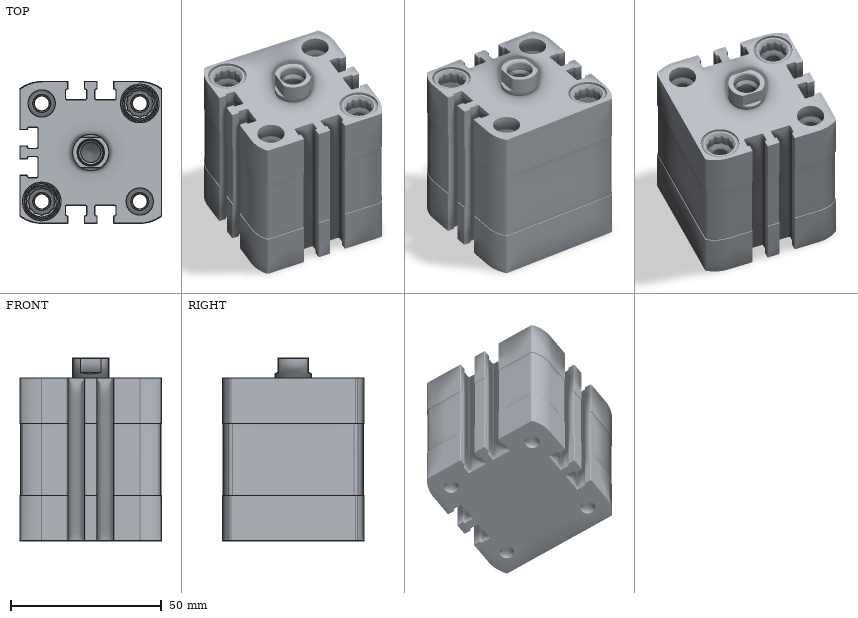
import cadquery as cq
import math

total_height = 60.6
width = 47.0
rod_protrusion = 6.6
housing_height = total_height - rod_protrusion
cap_height = 15.0
barrel_height = housing_height - 2 * cap_height
barrel_inset = 0.25

corner_center_x = 16.25
corner_radius = 12.0
cap_edge_radius = 0.9
barrel_edge_radius = 1.45

slot_side_angles = (0, -90, 180)
slot_offset = 4.85
slot_opening = 5.4
slot_inner_width = 6.9
slot_depth = 6.0
lip_depth = 2.55
lip_edge_radius = 0.25
slot_floor_radius = 0.4

selection_margin = 0.05

hole_offset = corner_center_x
through_hole_diameter = 4.9
countersink_diameter = 6.0
counterbore_diameter = 9.0
counterbore_depth = 4.95

recess_diameter = 12.8
head_diameter = 11.9
head_top_diameter = 11.0
head_top_depth = 0.25
recess_depth = 0.85
socket_mouth_diameter = 10.2
socket_diameter = 8.55
socket_cone_depth = 1.35
socket_depth = 4.8
spline_count = 12
spline_point_diameter = 9.2
spline_tip_half_angle = 5.0

rod_diameter = 12.0
rod_length = 21.2
flat_width = 10.0
flat_height = 4.8
flat_runout_angle = 25.0
rod_bore_mouth_diameter = 9.0
rod_bore_mouth_depth = 0.5
rod_bore_diameter = 8.5
rod_bore_depth = 3.2
thread_lead_in_diameter = 8.0
thread_lead_in_depth = 0.85
thread_hole_diameter = 6.65
thread_hole_depth = 12.1
drill_point_angle = 118.0


def upright_cylinder(diameter, bottom, height):
    return cq.Workplane("XY", origin=(0, 0, bottom)).circle(diameter / 2).extrude(height)


def rod_blank():
    """Plain rod, which also shapes its seat in the housing."""
    return upright_cylinder(rod_diameter, total_height - rod_length, rod_length)


def outline_block(inset, edge_radius, bottom, height):
    """Square block with four large corner arcs, tangent to the -Y and +Y faces."""
    half = width / 2 - inset
    radius = corner_radius - inset
    center_y = half - radius

    def arc_height(x):
        return center_y + math.sqrt(radius**2 - (x - corner_center_x) ** 2)

    side_y = arc_height(half)
    middle_x = (corner_center_x + half) / 2
    middle_y = arc_height(middle_x)
    block = (
        cq.Workplane("XY", origin=(0, 0, bottom))
        .moveTo(-corner_center_x, -half)
        .lineTo(corner_center_x, -half)
        .threePointArc((middle_x, -middle_y), (half, -side_y))
        .lineTo(half, side_y)
        .threePointArc((middle_x, middle_y), (corner_center_x, half))
        .lineTo(-corner_center_x, half)
        .threePointArc((-middle_x, middle_y), (-half, side_y))
        .lineTo(-half, -side_y)
        .threePointArc((-middle_x, -middle_y), (-corner_center_x, -half))
        .close()
        .extrude(height)
    )
    return block.edges("|Z").edges(">X or <X").fillet(edge_radius)


def slot_pair():
    """Two T-slots cut into the -Y face, as tools over the full housing height."""
    tools = cq.Workplane("XY")
    for side in (-1, 1):
        center_x = side * slot_offset
        opening = (
            cq.Workplane("XY")
            .center(center_x, -width / 2 + slot_depth / 2)
            .rect(slot_opening, slot_depth)
            .extrude(housing_height)
        )
        inner_depth = slot_depth - lip_depth
        inner = (
            cq.Workplane("XY")
            .center(center_x, -width / 2 + lip_depth + inner_depth / 2)
            .rect(slot_inner_width, inner_depth)
            .extrude(housing_height)
            .edges("|Z")
            .fillet(slot_floor_radius)
        )
        tools = tools.add(opening.union(inner))
    return tools.combine()


def turned(profile):
    """Solid turned about Z from (radius, z) points that start and end on the axis."""
    return cq.Workplane("XZ").polyline(profile).close().revolve(360, (0, 0), (0, 1))


def through_hole(floor_z):
    """Through hole with a 45 degree countersink starting at floor_z."""
    hole_radius = through_hole_diameter / 2
    sink_radius = countersink_diameter / 2
    return turned(
        [
            (0, 0),
            (hole_radius, 0),
            (hole_radius, floor_z - (sink_radius - hole_radius)),
            (sink_radius, floor_z),
            (0, floor_z),
        ]
    )


def plain_hole():
    """Counterbored through hole."""
    floor_z = housing_height - counterbore_depth
    counterbore = upright_cylinder(counterbore_diameter, floor_z, counterbore_depth)
    return counterbore.union(through_hole(floor_z))


def spline_socket(floor_z, height):
    """Socket with V-shaped grooves between flat-topped teeth."""
    pitch = 360 / spline_count
    points = []
    for index in range(spline_count):
        groove_angle = index * pitch
        tooth_angle = groove_angle + pitch / 2
        for diameter, angle in (
            (spline_point_diameter, groove_angle),
            (socket_diameter, tooth_angle - spline_tip_half_angle),
            (socket_diameter, tooth_angle + spline_tip_half_angle),
        ):
            turn = math.radians(angle)
            points.append((diameter / 2 * math.cos(turn), diameter / 2 * math.sin(turn)))
    return cq.Workplane("XY", origin=(0, 0, floor_z)).polyline(points).close().extrude(height)


def splined_hole():
    """Screw head standing in a round recess, with a splined socket and a through hole."""
    head_z = housing_height - head_top_depth
    head_edge_z = head_z - (head_diameter - head_top_diameter) / 2
    recess_floor_z = housing_height - recess_depth
    cone_end_z = head_z - socket_cone_depth
    socket_floor_z = housing_height - socket_depth

    recess = upright_cylinder(recess_diameter, recess_floor_z, recess_depth)
    head = turned(
        [
            (0, recess_floor_z),
            (head_diameter / 2, recess_floor_z),
            (head_diameter / 2, head_edge_z),
            (head_top_diameter / 2, head_z),
            (0, head_z),
        ]
    )
    mouth = turned(
        [
            (0, cone_end_z),
            (socket_diameter / 2, cone_end_z),
            (socket_mouth_diameter / 2, head_z),
            (0, head_z),
        ]
    )
    socket = spline_socket(socket_floor_z, head_z - socket_floor_z)
    return recess.cut(head).union(mouth).union(socket).union(through_hole(socket_floor_z))


def make_section(inset, edge_radius, bottom, height):
    """Length of the housing with its T-slots, whose lips are rounded on both edges."""
    section = outline_block(inset, edge_radius, bottom, height)
    slots = slot_pair()
    lip_reach_x = slot_opening / 2 + selection_margin
    lip_front_y = width / 2 + selection_margin
    lip_back_y = width / 2 - lip_depth - selection_margin
    for angle in slot_side_angles:
        section = section.rotate((0, 0, 0), (0, 0, 1), -angle)
        section = section.cut(slots)
        for side in (-1, 1):
            center_x = side * slot_offset
            lip_edges = cq.selectors.BoxSelector(
                (center_x - lip_reach_x, -lip_front_y, bottom),
                (center_x + lip_reach_x, -lip_back_y, bottom + height),
            )
            section = section.edges("|Z").edges(lip_edges).fillet(lip_edge_radius)
        section = section.rotate((0, 0, 0), (0, 0, 1), angle)
    return section


def make_housing():
    """Slimmer barrel between two equal end caps, with corner holes and a seat for the rod."""
    cap = make_section(0, cap_edge_radius, 0, cap_height)
    barrel = make_section(barrel_inset, barrel_edge_radius, cap_height, barrel_height)
    body = cap.union(barrel).union(cap.translate((0, 0, cap_height + barrel_height)))

    for side in (-1, 1):
        body = body.cut(plain_hole().translate((side * hole_offset, -side * hole_offset, 0)))
        body = body.cut(splined_hole().translate((side * hole_offset, side * hole_offset, 0)))

    return body.cut(rod_blank())


def make_rod():
    """Round rod with two wrench flats and a stepped threaded hole in its end."""
    rod = rod_blank()

    flat_z = total_height - flat_height
    reach = rod_diameter / 2 - flat_width / 2
    runout_drop = reach * math.tan(math.radians(flat_runout_angle))
    flat_cutter = (
        cq.Workplane("YZ")
        .polyline(
            [
                (flat_width / 2, flat_z),
                (rod_diameter / 2, flat_z - runout_drop),
                (rod_diameter / 2, total_height),
                (flat_width / 2, total_height),
            ]
        )
        .close()
        .extrude(rod_diameter / 2, both=True)
    )
    rod = rod.cut(flat_cutter).cut(flat_cutter.mirror("XZ"))

    hole_radius = thread_hole_diameter / 2
    hole_end_z = total_height - thread_hole_depth
    bore_end_z = total_height - rod_bore_depth
    point_length = hole_radius / math.tan(math.radians(drill_point_angle / 2))
    threaded_hole = turned(
        [
            (0, hole_end_z - point_length),
            (hole_radius, hole_end_z),
            (hole_radius, bore_end_z - thread_lead_in_depth),
            (thread_lead_in_diameter / 2, bore_end_z),
            (rod_bore_diameter / 2, bore_end_z),
            (rod_bore_diameter / 2, total_height - rod_bore_mouth_depth),
            (rod_bore_mouth_diameter / 2, total_height),
            (0, total_height),
        ]
    )
    return rod.cut(threaded_hole)


housing = make_housing()
piston_rod = make_rod()
result = cq.Compound.makeCompound([housing.solids().val(), piston_rod.solids().val()])